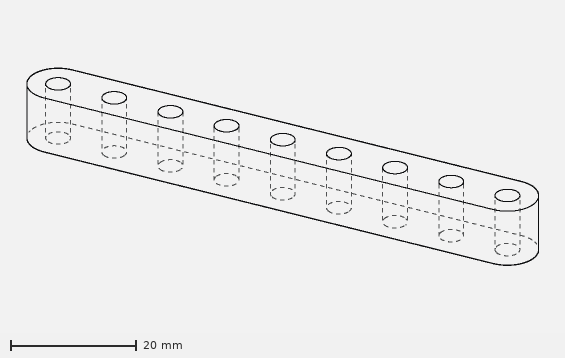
import cadquery as cq

length = 90.0
hole_count = 9
hole_diameter = 4.0

pitch = length / hole_count
width = pitch
height = pitch

beam = cq.Workplane("XY").slot2D(length, width).extrude(height)

result = (
    beam.faces(">Z")
    .workplane()
    .rarray(pitch, width, hole_count, 1)
    .hole(hole_diameter)
)